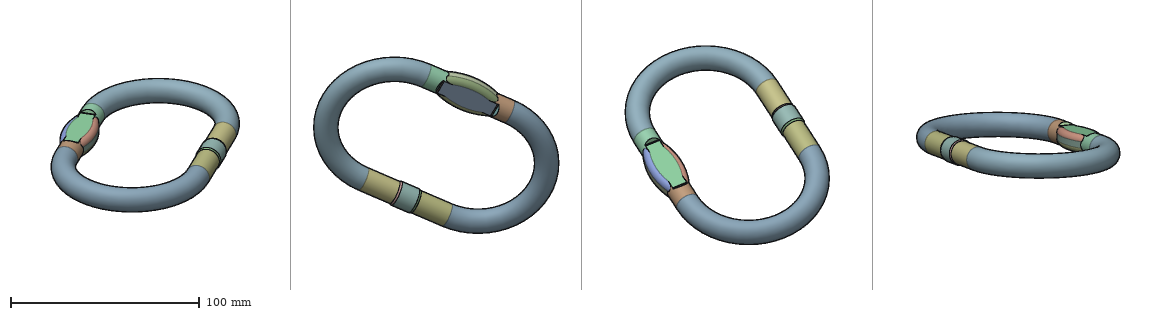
import cadquery as cq

ring_length = 135.8
rod_diameter = 13.0
straight_length = 49.8
rod_radius = rod_diameter / 2
bend_radius = (ring_length - straight_length - rod_diameter) / 2

collar_diameter = 14.0
collar_length = 12.8
collar_land_length = 10.3

grip_length = 31.6
grip_thickness = 10.0
grip_width = 18.3
grip_end_width = 11.7
grip_edge_radius = 3.3

groove_outer_length = 33.1
recess_top_length = 35.9
groove_depth = 0.07


def make_ring():
    half = straight_length / 2
    reach = half + bend_radius
    path = (
        cq.Workplane("XY")
        .moveTo(bend_radius, -half)
        .lineTo(bend_radius, half)
        .threePointArc((0, reach), (-bend_radius, half))
        .lineTo(-bend_radius, -half)
        .threePointArc((0, -reach), (bend_radius, -half))
        .close()
    )
    profile = cq.Workplane("XZ", origin=(bend_radius, -half, 0)).circle(rod_radius)
    return profile.sweep(path)


def make_collar():
    """Band with conical ends that run down to the rod surface."""
    half_land = collar_land_length / 2
    half_length = collar_length / 2
    collar_radius = collar_diameter / 2
    return (
        cq.Workplane("XY")
        .moveTo(0, -half_length)
        .lineTo(rod_radius, -half_length)
        .lineTo(collar_radius, -half_land)
        .lineTo(collar_radius, half_land)
        .lineTo(rod_radius, half_length)
        .lineTo(0, half_length)
        .close()
        .revolve(360, (0, 0, 0), (0, 1, 0))
        .translate((bend_radius, 0, 0))
    )


def make_recess():
    """Cutter for the upper recess; its ends slope out to the rod's crown."""
    half_grip = grip_length / 2
    half_groove = groove_outer_length / 2
    half_top = recess_top_length / 2
    floor = grip_thickness / 2
    groove_floor = floor - groove_depth
    return (
        cq.Workplane("YZ", origin=(-bend_radius, 0, 0))
        .moveTo(-half_groove, groove_floor)
        .lineTo(-half_grip, groove_floor)
        .lineTo(-half_grip, floor)
        .lineTo(half_grip, floor)
        .lineTo(half_grip, groove_floor)
        .lineTo(half_groove, groove_floor)
        .lineTo(half_top, rod_radius)
        .lineTo(-half_top, rod_radius)
        .close()
        .extrude(rod_radius, both=True)
    )


def make_grip():
    """Barrel-shaped plate with rounded long edges."""
    half = grip_length / 2
    half_width = grip_width / 2
    half_end_width = grip_end_width / 2
    return (
        cq.Workplane("XY")
        .moveTo(half_end_width, -half)
        .threePointArc((half_width, 0), (half_end_width, half))
        .lineTo(-half_end_width, half)
        .threePointArc((-half_width, 0), (-half_end_width, -half))
        .close()
        .extrude(grip_thickness / 2, both=True)
        .edges("%CIRCLE")
        .fillet(grip_edge_radius)
        .translate((-bend_radius, 0, 0))
    )


upper_recess = make_recess()
lower_recess = upper_recess.mirror("XY")
result = (
    make_ring()
    .union(make_collar())
    .cut(upper_recess)
    .cut(lower_recess)
    .union(make_grip())
    .clean()
)